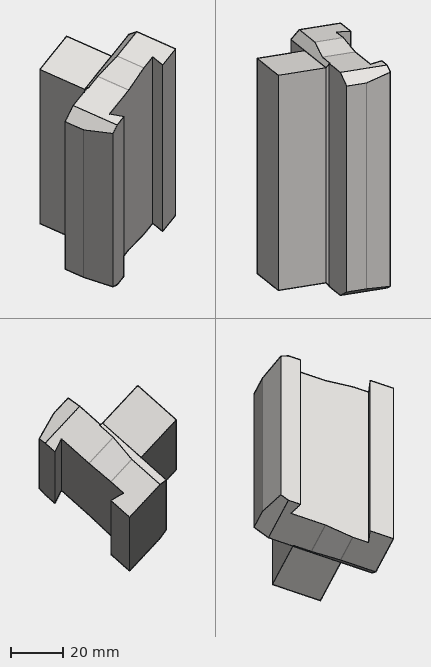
import cadquery as cq

length = 95.0
total_depth = 40.8
width = 49.6
half_length = length / 2

bar_side = 19.95
bar_front_y = 16.6

step_x = 21.2
slot_floor_x = 35.3
slot_floor_low_y = 9.4
slot_floor_high_y = 41.5
slot_undercut = 1.6
taper_start_x = 29.45
taper_rise = 2.85

end_bevel = 3.5
low_half_length = 45.6
ramp_low_y = 23.7
ramp_high_y = 35.0
nose_half_length = 42.1
nose_bevel_y = 6.0

bar_length = length - 2 * end_bevel


def make_bar():
    """Square bar standing along Z, flush with the ends of the jaw's bevels."""
    bar_base = cq.Workplane("XY", origin=(0, bar_front_y, 0))
    return bar_base.box(bar_side, bar_side, bar_length, centered=(False, False, True))


def jaw_section():
    """Jaw cross-section with a dovetail slot, extruded along Z."""
    outline = [
        (step_x, 0),
        (taper_start_x, 0),
        (total_depth, taper_rise),
        (total_depth, slot_floor_low_y + slot_undercut),
        (slot_floor_x, slot_floor_low_y),
        (slot_floor_x, slot_floor_high_y),
        (total_depth, slot_floor_high_y - slot_undercut),
        (total_depth, width),
        (bar_side, width),
        (bar_side, bar_front_y),
        (step_x, bar_front_y),
    ]
    return cq.Workplane("XY").polyline(outline).close().extrude(half_length, both=True)


def bevel_cutter(end):
    """Triangular wedge that bevels one end (1 = top, -1 = bottom) behind the bar's front face."""
    wedge = [
        (bar_side, end * (half_length - end_bevel)),
        (bar_side + end_bevel, end * half_length),
        (bar_side, end * half_length),
    ]
    bevel_run = width - bar_front_y
    return cq.Workplane("XZ", origin=(0, bar_front_y, 0)).polyline(wedge).close().extrude(-bevel_run)


def stepped_profile():
    """Side profile with ramped, nosed ends, mirrored about Z = 0."""
    upper_edge = [
        (0, nose_half_length),
        (nose_bevel_y, low_half_length),
        (ramp_low_y, low_half_length),
        (ramp_high_y, half_length),
        (width, half_length),
    ]
    lower_edge = [(y, -z) for y, z in reversed(upper_edge)]
    return cq.Workplane("YZ").polyline(upper_edge + lower_edge).close().extrude(total_depth)


def make_jaw():
    """Jaw section trimmed by its stepped side profile and its bar-side bevels."""
    trimmed_jaw = jaw_section().intersect(stepped_profile())
    return trimmed_jaw.cut(bevel_cutter(1)).cut(bevel_cutter(-1))


bar = make_bar()
jaw = make_jaw()

result = cq.Compound.makeCompound([bar.val(), jaw.val()])